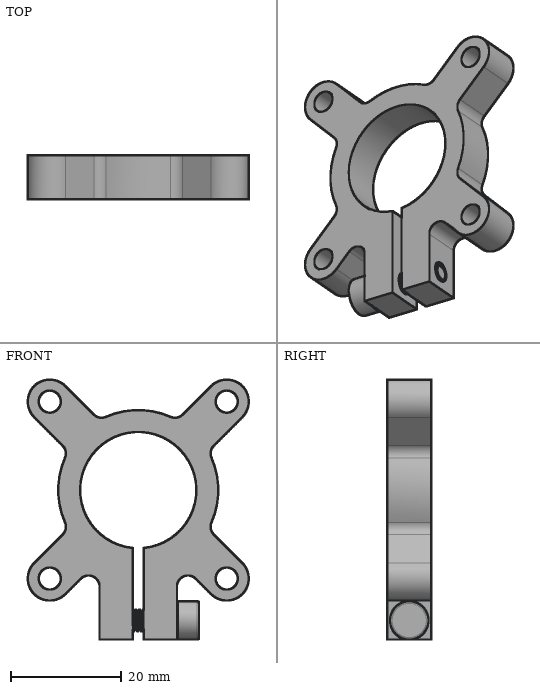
import cadquery as cq
import math

thickness = 8.0
bore_radius = 10.5
ring_radius = 14.5
ring_flat_z = -11.3
arm_fillet = 2.0

eye_offset = 16.0
eye_radius = 4.0
eye_hole_radius = 2.0

overall_height = 47.1
lug_bottom = eye_offset + eye_radius - overall_height
lug_half_width = 7.0
slot_width = 2.0
slot_half_width = slot_width / 2

screw_z = -23.6
head_radius = 3.5
head_height = 4.0
head_rim_fillet = 0.4
head_inner_chamfer = 0.2
tip_chamfer = 0.65

thread_pitch = 0.7
crest_radius = 2.0
thread_depth_share = 0.54
thread_depth = thread_depth_share * thread_pitch
root_radius = crest_radius - thread_depth
crest_share = 1 / 8
root_share = 1 / 4
crest_angle_at_tip = -6.0
thread_length = lug_half_width + slot_half_width
flank_points = 3


def y_cylinder(radius, x=0.0, z=0.0):
    """Cylinder through the full thickness, parallel to Y."""
    return (
        cq.Workplane("XZ")
        .center(x, z)
        .circle(radius)
        .extrude(thickness / 2, both=True)
    )


def trimming_block_below(z):
    """Block larger than the whole part, with its top face at height z."""
    size = 2 * overall_height
    return cq.Workplane("XY").box(size, size, size).translate((0, 0, z - size / 2))


def arm_pair(angle):
    """Straight bar across the ring that carries two opposite eyes."""
    eye_spacing = 2 * math.hypot(eye_offset, eye_offset)
    return (
        cq.Workplane("XZ")
        .slot2D(eye_spacing + 2 * eye_radius, 2 * eye_radius, angle)
        .extrude(thickness / 2, both=True)
    )


def block_below_centre(width):
    """Block as thick as the clamp, from the ring centre down to the lug ends."""
    return (
        cq.Workplane("XY")
        .box(width, thickness, -lug_bottom)
        .translate((0, 0, lug_bottom / 2))
    )


def shank_in_right_lug():
    """Plain part of the screw shank, which also sizes its hole."""
    return (
        cq.Workplane("YZ", origin=(slot_half_width, 0, screw_z))
        .circle(crest_radius)
        .extrude(lug_half_width - slot_half_width)
    )


def make_clamp(screw_thread):
    """Ring, arms and lugs in one piece, slotted and tapped for the screw."""
    ring = y_cylinder(ring_radius).cut(trimming_block_below(ring_flat_z))
    body = ring.union(arm_pair(45)).union(arm_pair(-45))
    body = body.union(block_below_centre(2 * lug_half_width))

    arm_side_ring_angle = math.asin(eye_radius / ring_radius)
    corner_reach = eye_radius * math.sqrt(2)
    corners = [(side * lug_half_width, -lug_half_width - corner_reach) for side in (-1, 1)]
    for arm in (45, 135, 225, 315):
        for turn in (-arm_side_ring_angle, arm_side_ring_angle):
            angle = math.radians(arm) + turn
            corner = (ring_radius * math.cos(angle), ring_radius * math.sin(angle))
            if corner[1] > ring_flat_z:
                corners.append(corner)
    for x, z in corners:
        body = body.edges(cq.selectors.NearestToPointSelector((x, 0, z))).fillet(arm_fillet)

    body = body.cut(y_cylinder(bore_radius)).cut(block_below_centre(slot_width))
    for x_side in (-1, 1):
        for z_side in (-1, 1):
            body = body.cut(y_cylinder(eye_hole_radius, x_side * eye_offset, z_side * eye_offset))

    return body.cut(screw_thread).cut(shank_in_right_lug()).solids()


def make_thread():
    """Right-hand thread along X, from the left lug face across the slot to the right lug.

    Its cross section is a root arc and a crest arc joined by two spirals, and this section
    turns once per pitch along the axis.
    """
    crest_end = math.pi * crest_share
    root_start = math.pi * (1 - root_share)
    flank_turn = root_start - crest_end

    def polar(radius, angle):
        return (radius * math.cos(angle), radius * math.sin(angle))

    def falling_flank(t):
        return polar(crest_radius - thread_depth * t, crest_end + flank_turn * t)

    def rising_flank(t):
        return polar(root_radius + thread_depth * t, -root_start + flank_turn * t)

    return (
        cq.Workplane("XY")
        .moveTo(*polar(crest_radius, -crest_end))
        .threePointArc(polar(crest_radius, 0), polar(crest_radius, crest_end))
        .parametricCurve(falling_flank, N=flank_points, makeWire=False)
        .moveTo(*polar(root_radius, root_start))
        .threePointArc(polar(root_radius, math.pi), polar(root_radius, -root_start))
        .parametricCurve(rising_flank, N=flank_points, makeWire=False)
        .wire()
        .twistExtrude(thread_length, 360 * thread_length / thread_pitch)
        .rotate((0, 0, 0), (0, 0, 1), crest_angle_at_tip)
        .rotate((0, 0, 0), (1, 1, 1), 120)
        .translate((-lug_half_width, 0, screw_z))
    )


def make_screw(screw_thread):
    """Threaded shank with a chamfered tip, and a cylindrical head against the right lug."""
    tip_cone = (
        cq.Workplane("XY")
        .polyline([
            (0, 0),
            (0, crest_radius - tip_chamfer),
            (thread_length, crest_radius - tip_chamfer + thread_length),
            (thread_length, 0),
        ])
        .close()
        .revolve(360, (0, 0, 0), (1, 0, 0))
        .translate((-lug_half_width, 0, screw_z))
    )
    head = (
        cq.Workplane("YZ", origin=(lug_half_width, 0, screw_z))
        .circle(head_radius)
        .extrude(head_height)
        .faces(">X").edges().fillet(head_rim_fillet)
        .faces("<X").edges().chamfer(head_inner_chamfer)
    )
    threaded_shank = screw_thread.intersect(tip_cone)
    return threaded_shank.union(shank_in_right_lug()).union(head).solids()


thread = make_thread()
clamp = make_clamp(thread)
screw = make_screw(thread)

result = cq.Compound.makeCompound([clamp.val(), screw.val()])